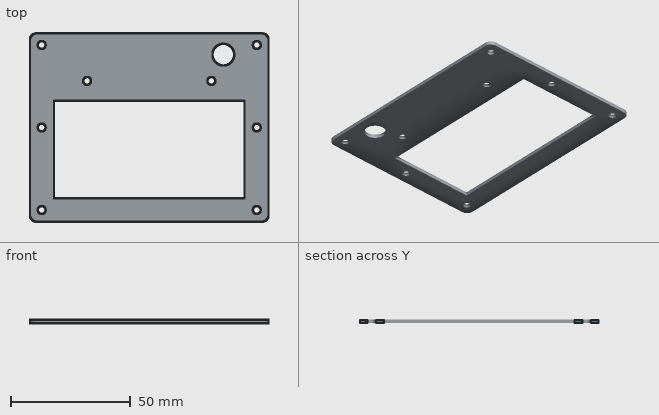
import cadquery as cq

plate_length = 100.0
plate_width = 79.0
plate_thickness = 1.6
corner_radius = 3.0

window_length = 79.5
window_width = 40.6
window_front_margin = 10.0
window_center_y = -plate_width / 2 + window_front_margin + window_width / 2

screw_hole_diameter = 3.2
edge_inset = 5.0
edge_hole_x = plate_length / 2 - edge_inset
edge_hole_y = plate_width / 2 - edge_inset

rear_hole_spacing = 52.0
rear_hole_y = 19.5

opening_diameter = 9.0
opening_center = (31.0, 30.5)


def make_plate():
    """Flat plate with rounded corners, resting on Z = 0."""
    plate = cq.Workplane("XY").rect(plate_length, plate_width).extrude(plate_thickness)
    return plate.edges("|Z").fillet(corner_radius)


def make_window():
    """Sharp-cornered block that cuts the window."""
    outline = cq.Workplane("XY").center(0, window_center_y).rect(window_length, window_width)
    return outline.extrude(plate_thickness)


def make_hole_pins(centers, diameter):
    """Cylinders that cut through holes at the given centers."""
    return cq.Workplane("XY").pushPoints(centers).circle(diameter / 2).extrude(plate_thickness)


edge_hole_centers = [
    (x, y)
    for x in (-edge_hole_x, edge_hole_x)
    for y in (-edge_hole_y, 0, edge_hole_y)
]
rear_hole_centers = [(side * rear_hole_spacing / 2, rear_hole_y) for side in (-1, 1)]

result = make_plate()
result = result.cut(make_window())
result = result.cut(make_hole_pins(edge_hole_centers + rear_hole_centers, screw_hole_diameter))
result = result.cut(make_hole_pins([opening_center], opening_diameter))